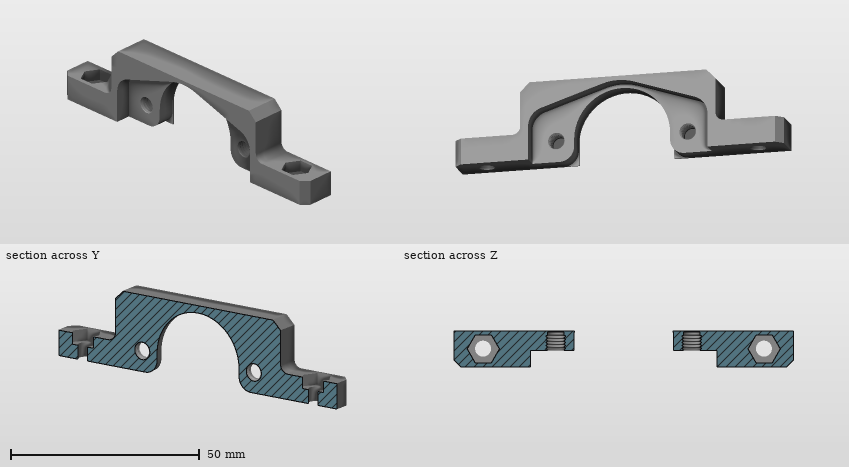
import cadquery as cq
import math

length = 90.0
width = 9.7
height = 21.2
front_y = -width / 2
back_y = width / 2

bridge_half = 26.7
flange_height = 7.1
bridge_chamfer = 2.5
flange_fillet = 2.25
end_chamfer = 2.0

bore_radius = 13.1
bore_z = 5.9
web_half_gap = 13.0
web_thickness = 0.45
lug_corner_radius = 4.0

recess_depth = 4.4
recess_half = 24.6
recess_roof_radius = 14.1
recess_roof_angle = math.radians(18)
recess_corner_radius = 5.0

bolt_x = 37.2
bolt_diameter = 4.2
nut_flats = 7.3
nut_corners = nut_flats / math.cos(math.pi / 6)
nut_depth = 3.15

screw_x = 18.0
screw_z = 5.8
thread_minor = 4.2
thread_major = 5.1
thread_pitch = 0.8
thread_groove_width = 0.7
mouth_diameter = 4.6
mouth_depth = 0.2

recess_floor_y = front_y + recess_depth
web_front_y = back_y - web_thickness


def extrude_along_y(sketch, start_y, end_y):
    """Extrude a closed XZ outline between two Y positions."""
    return sketch.extrude(start_y - end_y).translate((0, start_y, 0))


def make_body():
    shoulder = bridge_half - bridge_chamfer
    outline = (
        cq.Workplane("XZ")
        .moveTo(-length / 2, 0)
        .lineTo(length / 2, 0)
        .lineTo(length / 2, flange_height)
        .lineTo(bridge_half, flange_height)
        .lineTo(bridge_half, height - bridge_chamfer)
        .lineTo(shoulder, height)
        .lineTo(-shoulder, height)
        .lineTo(-bridge_half, height - bridge_chamfer)
        .lineTo(-bridge_half, flange_height)
        .lineTo(-length / 2, flange_height)
        .close()
    )
    body = extrude_along_y(outline, front_y, back_y)
    for side in (-1, 1):
        inner_corner = cq.NearestToPointSelector((side * bridge_half, 0, flange_height))
        body = body.edges("|Y").edges(inner_corner).fillet(flange_fillet)
    end_corners = body.faces("<X or >X").edges("|Z and <Y")
    return end_corners.chamfer(end_chamfer)


def make_arch(half_gap, start_y, end_y):
    """Arch opening: the bore above and straight sides down through the base."""
    spring_z = bore_z + math.sqrt(bore_radius**2 - half_gap**2)
    outline = (
        cq.Workplane("XZ")
        .moveTo(-half_gap, 0)
        .lineTo(-half_gap, spring_z)
        .threePointArc((0, bore_z + bore_radius), (half_gap, spring_z))
        .lineTo(half_gap, 0)
        .close()
    )
    return extrude_along_y(outline, start_y, end_y)


def make_lug_corner(side):
    """Material outside the rounded lower inner corner of a lug."""
    inner_x = side * bore_radius
    outer_x = side * (bore_radius + lug_corner_radius)
    middle_x = side * (bore_radius + lug_corner_radius * (1 - math.sqrt(0.5)))
    middle_z = lug_corner_radius * (1 - math.sqrt(0.5))
    outline = (
        cq.Workplane("XZ")
        .moveTo(inner_x, 0)
        .lineTo(outer_x, 0)
        .threePointArc((middle_x, middle_z), (inner_x, lug_corner_radius))
        .close()
    )
    return extrude_along_y(outline, front_y, web_front_y)


def make_recess():
    sine = math.sin(recess_roof_angle)
    cosine = math.cos(recess_roof_angle)
    tangent_x = recess_roof_radius * sine
    tangent_z = bore_z + recess_roof_radius * cosine
    corner_z = tangent_z - (recess_half - tangent_x) * sine / cosine
    outline = (
        cq.Workplane("XZ")
        .moveTo(-recess_half, 0)
        .lineTo(-recess_half, corner_z)
        .lineTo(-tangent_x, tangent_z)
        .threePointArc((0, bore_z + recess_roof_radius), (tangent_x, tangent_z))
        .lineTo(recess_half, corner_z)
        .lineTo(recess_half, 0)
        .close()
    )
    recess = extrude_along_y(outline, front_y, recess_floor_y)
    for side in (-1, 1):
        corner = cq.NearestToPointSelector((side * recess_half, 0, corner_z))
        recess = recess.edges("|Y").edges(corner).fillet(recess_corner_radius)
    return recess


def make_nut_hole(side):
    hole = cq.Workplane("XY").center(side * bolt_x, 0).circle(bolt_diameter / 2).extrude(flange_height)
    pocket = (
        cq.Workplane("XY", origin=(side * bolt_x, 0, flange_height - nut_depth))
        .polygon(6, nut_corners)
        .extrude(nut_depth)
    )
    return hole.union(pocket)


def make_threaded_hole(side):
    """Revolved blind hole with a V-shaped ring groove at every thread pitch."""
    depth = web_front_y - recess_floor_y
    groove_count = int((depth - mouth_depth) / thread_pitch)
    profile = cq.Workplane("XY").lineTo(mouth_diameter / 2, 0)
    for index in range(groove_count):
        groove_start = mouth_depth + index * thread_pitch
        profile = (
            profile.lineTo(thread_minor / 2, groove_start)
            .lineTo(thread_major / 2, groove_start + thread_groove_width / 2)
            .lineTo(thread_minor / 2, groove_start + thread_groove_width)
        )
    profile = profile.lineTo(thread_minor / 2, depth).lineTo(0, depth).close()
    hole = profile.revolve(360, (0, 0), (0, 1))
    return hole.translate((side * screw_x, recess_floor_y, screw_z))


result = make_body()
result = result.cut(make_arch(bore_radius, front_y, web_front_y))
result = result.cut(make_arch(web_half_gap, web_front_y, back_y))
result = result.cut(make_recess())
for side in (-1, 1):
    result = result.cut(make_lug_corner(side))
    result = result.cut(make_nut_hole(side))
    result = result.cut(make_threaded_hole(side))